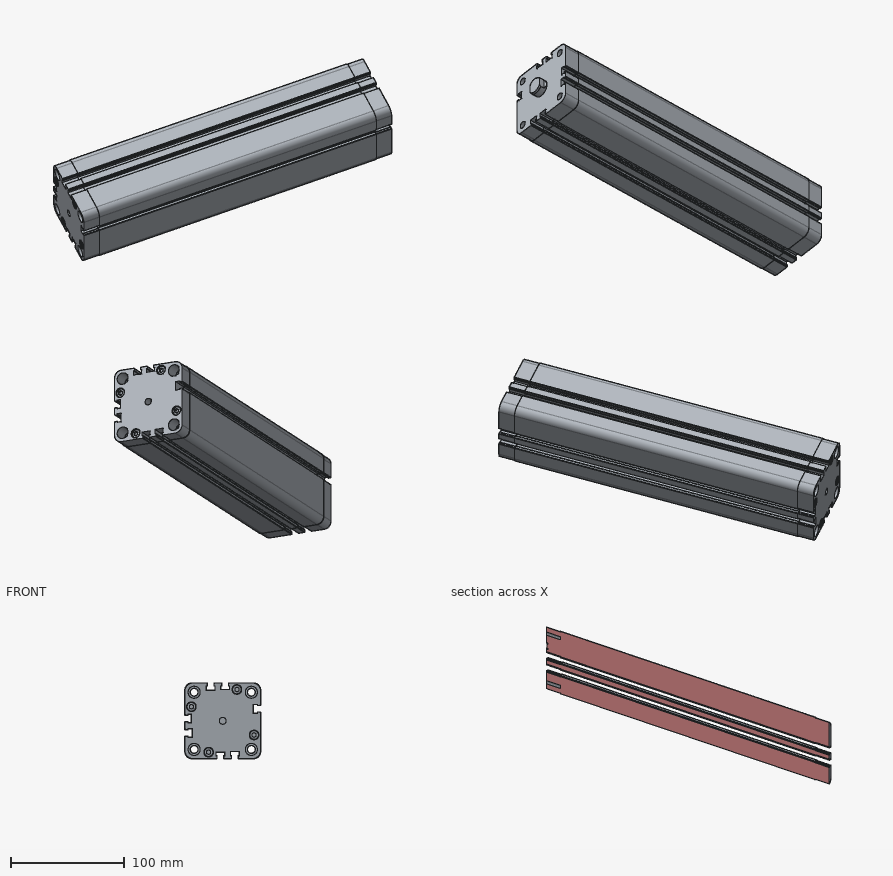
import cadquery as cq
total_length = 303.0
side = 67.0
corner_radius = 6.7
rod_reach = 7.5
body_length = total_length - rod_reach
front_y = -total_length / 2
rear_y = front_y + body_length
half_side = side / 2

cap_length = 14.8
cap_inset = 0.3

slot_neck_width = 5.5
slot_neck_depth = 3.0
slot_width = 7.3
slot_mouth_chamfer = 0.45
outer_slot = (-10.5, 6.5)
inner_slot = (2.0, 5.8)
plain_turn = 3

mount_offset = 25.0
mount_diameter = 6.7
mount_recess_diameter = 10.5
mount_recess_depth = cap_length

screw_position = (12.5, 27.5)
screw_bore_diameter = 8.5
screw_bore_depth = 1.8
screw_head_diameter = 7.5
screw_head_sink = 0.5
socket_corner_width = 4.2
socket_depth = 2.5

center_hole_diameter = 6.0
center_hole_depth = cap_length

rod_diameter = 16.0
flat_width = 13.0
collar_length = 0.5
tip_taper_length = 1.5
tip_taper_depth = 0.5


def xz_plane(y):
    """Sketch plane whose normal points toward +Y; local x is -X."""
    return cq.Workplane(cq.Plane(origin=(0, y, 0), xDir=(-1, 0, 0), normal=(0, 1, 0)))


def bar(width, y_start, length):
    return xz_plane(y_start).rect(width, width).extrude(length).edges("|Y").fillet(corner_radius)


def cylinder(x, z, diameter, y_start, length):
    return xz_plane(y_start).center(-x, z).circle(diameter / 2).extrude(length)


def turned(shape, quarter_turns):
    return shape.rotate((0, 0, 0), (0, 1, 0), -90 * quarter_turns)


def slot(offset, depth, inset, y_start, length):
    """Undercut slot with a chamfered mouth in the +Z side."""
    top = half_side - inset
    shoulder = half_side - slot_neck_depth + inset
    floor = half_side - depth - inset
    neck = slot_neck_width / 2 + inset
    mouth = neck + slot_mouth_chamfer
    groove = slot_width / 2 + inset
    right_half = [(groove, floor), (groove, shoulder), (neck, shoulder),
                  (neck, top - slot_mouth_chamfer), (mouth, top)]
    left_half = [(-across, z) for across, z in reversed(right_half)]
    outline = [(-offset - across, z) for across, z in right_half + left_half]
    return xz_plane(y_start).polyline(outline).close().extrude(length)


def screw_cut(x, z):
    """Shallow screw bore around a slightly sunken head with a hex socket."""
    bore = cylinder(x, z, screw_bore_diameter, front_y, screw_bore_depth)
    head_y = front_y + screw_head_sink
    head = cylinder(x, z, screw_head_diameter, head_y, screw_bore_depth - screw_head_sink)
    socket = (xz_plane(head_y).center(-x, z).transformed(rotate=(0, 0, 90))
              .polygon(6, socket_corner_width).extrude(socket_depth))
    return bore.cut(head).union(socket)


def section(inset, y_start, length):
    """Slotted length of the body, cut back all round by the inset."""
    width = side - 2 * inset
    solid = bar(width, y_start, length)
    for turn in range(4):
        solid = solid.cut(turned(slot(*outer_slot, inset, y_start, length), turn))
        if turn != plain_turn:
            solid = solid.cut(turned(slot(*inner_slot, inset, y_start, length), turn))
    return solid


body = section(0, front_y + cap_length, body_length - 2 * cap_length)
for cap_start in (front_y, rear_y - cap_length):
    body = body.union(section(cap_inset, cap_start, cap_length))

near, far = screw_position
for x, z in [(near, far), (far, -near), (-near, -far), (-far, near)]:
    body = body.cut(screw_cut(x, z))

for x in (-mount_offset, mount_offset):
    for z in (-mount_offset, mount_offset):
        body = body.cut(cylinder(x, z, mount_diameter, front_y, body_length))
        body = body.cut(cylinder(x, z, mount_recess_diameter, front_y, mount_recess_depth))

body = body.cut(cylinder(0, 0, center_hole_diameter, front_y, center_hole_depth))

rod_radius = rod_diameter / 2
tip_y = rear_y + rod_reach
rod_profile = [(0, rear_y), (rod_radius, rear_y), (rod_radius, tip_y - tip_taper_length),
               (rod_radius - tip_taper_depth, tip_y), (0, tip_y)]
rod = cq.Workplane("XY").polyline(rod_profile).close().revolve(360, (0, 0), (0, 1))

collar_y = rear_y + collar_length
half_flat = flat_width / 2
flat_start_y = collar_y + rod_radius - half_flat
right_edge = [(rod_radius, rear_y), (rod_radius, collar_y), (half_flat, flat_start_y), (half_flat, tip_y)]
left_edge = [(-x, y) for x, y in reversed(right_edge)]
flats = cq.Workplane("XY").polyline(right_edge + left_edge).close().extrude(rod_radius, both=True)
result = body.union(rod.intersect(flats))